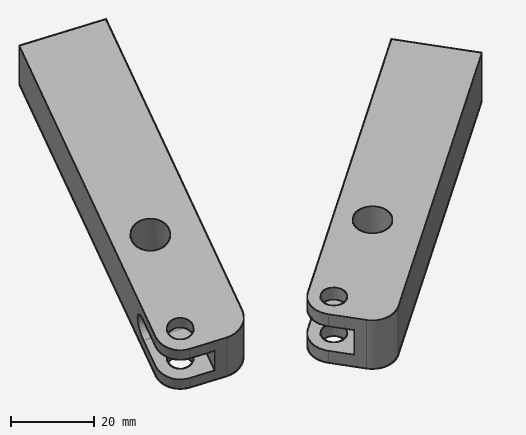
import cadquery as cq

length = 98.55
width = 22.3
height = 15.9
corner_radius = 6.4

pivot_diameter = 9.6
pivot_x = 63.6
pivot_y = 9.6

pin_diameter = 6.4
pin_x = length - corner_radius
pin_y = corner_radius

slot_height = 8.0
slot_length = 18.4
slot_depth = 12.8
slot_radius = slot_height / 2


def make_bar():
    """Bar with its two +X corners rounded."""
    bar = cq.Workplane("XY").box(length, width, height, centered=False)
    return bar.edges("|Z and >X").fillet(corner_radius)


def through_hole(x, y, diameter):
    """Vertical cutter spanning the full height of the bar."""
    return cq.Workplane("XY").center(x, y).circle(diameter / 2).extrude(height)


def make_slot():
    """Cutter running to the +X end, with a half-round inner end."""
    round_center_x = length - slot_length + slot_radius
    middle = height / 2
    return (
        cq.Workplane("XZ")
        .moveTo(length, middle - slot_radius)
        .lineTo(round_center_x, middle - slot_radius)
        .threePointArc(
            (round_center_x - slot_radius, middle),
            (round_center_x, middle + slot_radius),
        )
        .lineTo(length, middle + slot_radius)
        .close()
        .extrude(-slot_depth)
    )


result = (
    make_bar()
    .cut(through_hole(pivot_x, pivot_y, pivot_diameter))
    .cut(through_hole(pin_x, pin_y, pin_diameter))
    .cut(make_slot())
)